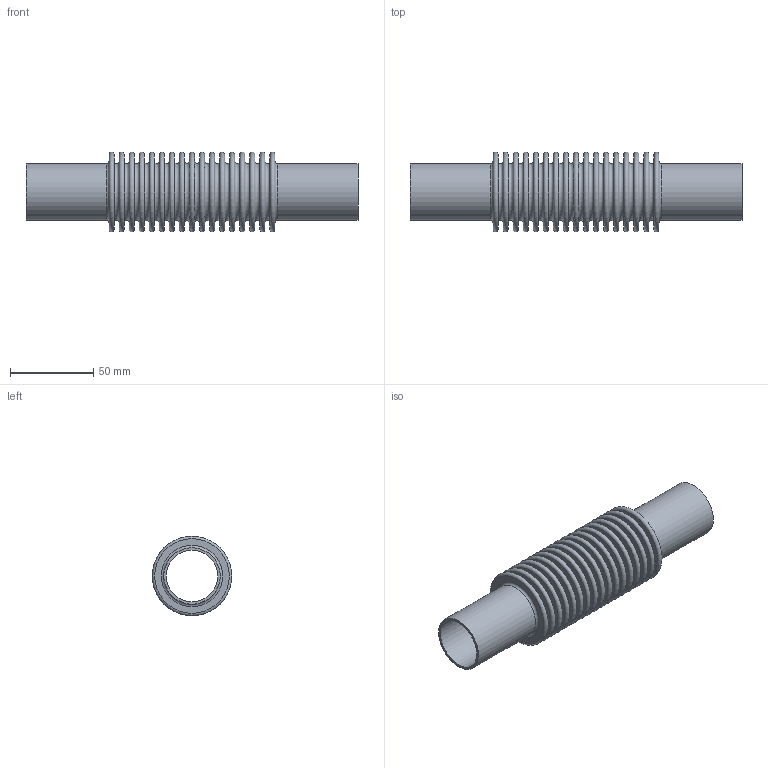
import cadquery as cq

total_length = 200.0
pipe_outer_diameter = 34.0
bore_diameter = 31.0
bellows_length = 103.0
convolution_count = 17
crest_centre_radius = 22.5

pipe_radius = pipe_outer_diameter / 2
half_length = total_length / 2
pitch = bellows_length / convolution_count
round_radius = pitch / 4
root_centre_radius = pipe_radius + round_radius
crest_radius = crest_centre_radius + round_radius


def add_convolution(profile, centre_x):
    """Draw one convolution, from the root before the crest to the root after it."""
    left_flank = centre_x - round_radius
    right_flank = centre_x + round_radius
    return (
        profile
        .radiusArc((left_flank, root_centre_radius), -round_radius)
        .lineTo(left_flank, crest_centre_radius)
        .threePointArc((centre_x, crest_radius), (right_flank, crest_centre_radius))
        .lineTo(right_flank, root_centre_radius)
        .radiusArc((centre_x + pitch / 2, pipe_radius), -round_radius)
    )


def make_outer_body():
    """Revolve the outline of both plain pipe ends and the bellows between them."""
    profile = (
        cq.Workplane("XY")
        .moveTo(-half_length, 0)
        .lineTo(-half_length, pipe_radius)
        .lineTo(-bellows_length / 2, pipe_radius)
    )
    for index in range(convolution_count):
        centre_x = (index - (convolution_count - 1) / 2) * pitch
        profile = add_convolution(profile, centre_x)
    profile = profile.lineTo(half_length, pipe_radius).lineTo(half_length, 0).close()
    return profile.revolve(360, (0, 0, 0), (1, 0, 0))


def make_bore():
    """Straight bore running the full length of the pipe."""
    return (
        cq.Workplane("YZ", origin=(-half_length, 0, 0))
        .circle(bore_diameter / 2)
        .extrude(total_length)
    )


result = make_outer_body().cut(make_bore())